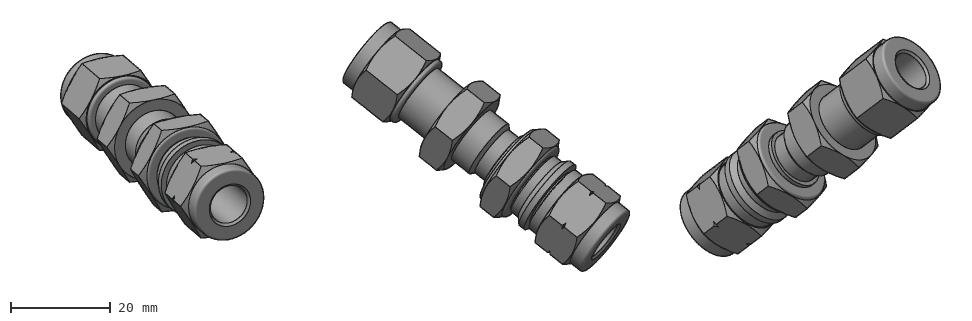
import cadquery as cq
import math


body_diameter = 12.7
undercut_diameter = 11.0
end_collar_diameter = 15.5
seat_diameter = 14.2
flange_diameter = 16.5
inner_collar_diameter = 15.0
washer_face_diameter = 17.8
through_bore_diameter = 6.4
tube_bore_diameter = 8.2
tube_mouth_diameter = 9.2

cap_nut_width = 15.875
lock_nut_width = 17.5
body_hex_width = 18.0
hex_chamfer_angle = 30.0
hex_half_angle = 180.0 / 6

total_length = 62.2
cap_hex_start = 3.0
cap_hex_end = 12.5
cap_nut_end = 13.55
lock_nut_start = 21.2
lock_nut_end = 27.25
undercut_cone_start = 31.85
undercut_start = 32.6
undercut_end = 35.65
washer_face_start = 36.52
body_hex_start = 37.1
body_hex_end = 42.4
washer_face_end = 42.95
seat_start = 43.3
seat_end = 45.2
flange_start = 46.3
flange_end = 47.65
inner_collar_start = 48.15
marked_hex_start = 50.4
marked_hex_end = total_length - cap_hex_start

end_fillet = 0.5
inner_collar_fillet = 0.4
washer_face_fillet = 0.5
tube_bore_depth = 16.0

notch_width = 0.6
notch_depth = 0.4


def cylinder(start, end, diameter):
    """Cylinder on the X axis between two stations."""
    return cq.Workplane("YZ").workplane(offset=start).circle(diameter / 2).extrude(end - start)


def cone(start, end, start_diameter, end_diameter):
    """Truncated cone on the X axis between two stations."""
    outline = [
        (start, 0),
        (start, start_diameter / 2),
        (end, end_diameter / 2),
        (end, 0),
    ]
    return cq.Workplane("XY").polyline(outline).close().revolve(360, (0, 0, 0), (1, 0, 0))


def corner_diameter(width):
    """Diameter across the corners of a hexagon of the given width across flats."""
    return width / math.cos(math.radians(hex_half_angle))


def chamfered_hex(start, end, width, face_diameter):
    """Hexagon with flats facing +Z and -Z, turned by a cone down to a round face at each end."""
    across_corners = corner_diameter(width)
    cone_length = (across_corners - face_diameter) / 2 * math.tan(math.radians(hex_chamfer_angle))
    prism = cq.Workplane("YZ").workplane(offset=start).polygon(6, across_corners).extrude(end - start)
    envelope = (
        cone(start, start + cone_length, face_diameter, across_corners)
        .union(cylinder(start + cone_length, end - cone_length, across_corners))
        .union(cone(end - cone_length, end, across_corners, face_diameter))
    )
    return prism.intersect(envelope)


def end_collar(start, end, rounded_face):
    """Round collar of a cap nut, its rim rounded on one face."""
    collar = cylinder(start, end, end_collar_diameter)
    return collar.faces(rounded_face).edges().fillet(end_fillet)


def corner_notches(hex_width, station):
    """V-groove ring that nicks only the corners of a hexagon."""
    outer_radius = corner_diameter(hex_width) / 2
    outline = [
        (station - notch_width / 2, outer_radius),
        (station, outer_radius - notch_depth),
        (station + notch_width / 2, outer_radius),
    ]
    return cq.Workplane("XY").polyline(outline).close().revolve(360, (0, 0, 0), (1, 0, 0))


def first_cap_nut():
    nut = chamfered_hex(cap_hex_start, cap_hex_end, cap_nut_width, cap_nut_width)
    nut = nut.union(end_collar(0, cap_hex_start, "<X"))
    return nut.union(end_collar(cap_hex_end, cap_nut_end, ">X"))


def marked_cap_nut():
    nut = chamfered_hex(marked_hex_start, marked_hex_end, cap_nut_width, end_collar_diameter)
    nut = nut.cut(corner_notches(cap_nut_width, (marked_hex_start + marked_hex_end) / 2))
    nut = nut.union(end_collar(marked_hex_end, total_length, ">X"))
    inner_collar = cylinder(inner_collar_start, marked_hex_start, inner_collar_diameter)
    return nut.union(inner_collar.faces("<X").edges().fillet(inner_collar_fillet))


def body():
    core = cylinder(cap_hex_end, undercut_cone_start, body_diameter)
    core = core.union(cone(undercut_cone_start, undercut_start, body_diameter, undercut_diameter))
    core = core.union(cylinder(undercut_start, undercut_end, undercut_diameter))
    return core.union(cylinder(undercut_end, marked_hex_start, body_diameter))


def body_hex():
    washer_face = cylinder(washer_face_start, washer_face_end, washer_face_diameter)
    washer_face = washer_face.edges().fillet(washer_face_fillet)
    hexagon = chamfered_hex(body_hex_start, body_hex_end, body_hex_width, washer_face_diameter)
    return washer_face.union(hexagon)


def flange():
    seat_chamfer = seat_start - washer_face_end
    seat = cylinder(washer_face_end, seat_end, seat_diameter).faces("<X").chamfer(seat_chamfer)
    seat = seat.union(cone(seat_end, flange_start, seat_diameter, flange_diameter))
    return seat.union(cylinder(flange_start, flange_end, flange_diameter))


def bore():
    mouth_length = (tube_mouth_diameter - tube_bore_diameter) / 2
    cutter = cylinder(0, total_length, through_bore_diameter)
    cutter = cutter.union(cylinder(0, tube_bore_depth, tube_bore_diameter))
    cutter = cutter.union(cylinder(total_length - tube_bore_depth, total_length, tube_bore_diameter))
    cutter = cutter.union(cone(0, mouth_length, tube_mouth_diameter, tube_bore_diameter))
    return cutter.union(
        cone(total_length - mouth_length, total_length, tube_bore_diameter, tube_mouth_diameter)
    )


result = (
    body()
    .union(first_cap_nut())
    .union(chamfered_hex(lock_nut_start, lock_nut_end, lock_nut_width, lock_nut_width))
    .union(body_hex())
    .union(flange())
    .union(marked_cap_nut())
    .cut(bore())
)